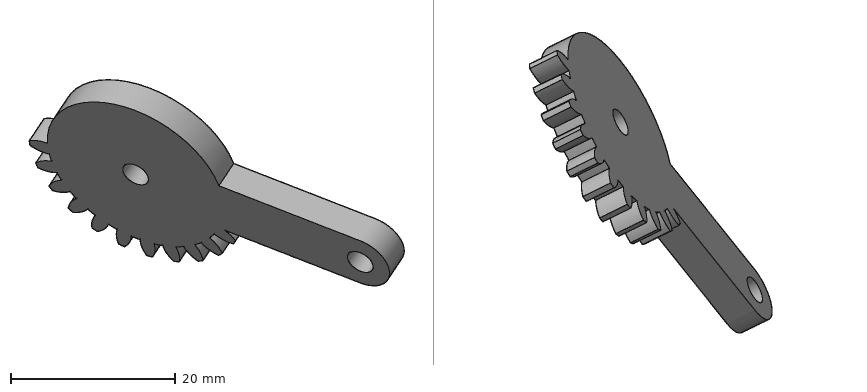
import cadquery as cq
import math

thickness = 4.0
root_radius = 12.1
tip_radius = 14.65
pitch_radius = 13.5
pressure_angle = math.radians(20)
full_circle_teeth = 24
tooth_count = 11
first_tooth_angle = 187.5
hole_diameter = 3.5
arm_width = 8.0
overall_length = 49.3

tooth_pitch = 360 / full_circle_teeth
base_radius = pitch_radius * math.cos(pressure_angle)
tooth_foot_radius = root_radius - 0.5


def involute(angle):
    return math.tan(angle) - angle


def half_tooth_angle(radius):
    """Angle from the tooth centreline to its involute flank, in radians."""
    at_pitch = math.pi / (2 * full_circle_teeth)
    flank_angle = math.acos(base_radius / radius)
    return at_pitch + involute(pressure_angle) - involute(flank_angle)


def polar(radius, angle):
    return (radius * math.cos(angle), radius * math.sin(angle))


first_tooth_tilt = math.radians(first_tooth_angle - 180)
left_reach = tip_radius * math.cos(first_tooth_tilt - half_tooth_angle(tip_radius))
arm_length = overall_length - left_reach - arm_width / 2


def front_plane():
    """XZ sketch plane on the back face; extrusion runs toward -Y."""
    return cq.Workplane("XZ")


def make_tooth():
    """One tooth on +X, each flank a single arc fitted to the involute."""
    base_half = half_tooth_angle(base_radius)
    middle_radius = (base_radius + tip_radius) / 2
    middle_half = half_tooth_angle(middle_radius)
    tip_half = half_tooth_angle(tip_radius)
    return (
        front_plane()
        .moveTo(*polar(tooth_foot_radius, -base_half))
        .lineTo(*polar(root_radius, -base_half))
        .threePointArc(polar(middle_radius, -middle_half), polar(tip_radius, -tip_half))
        .threePointArc((tip_radius, 0), polar(tip_radius, tip_half))
        .threePointArc(polar(middle_radius, middle_half), polar(root_radius, base_half))
        .lineTo(*polar(tooth_foot_radius, base_half))
        .close()
        .extrude(thickness)
    )


def make_arm():
    """Straight bar from the pivot, ending in a full round."""
    half_width = arm_width / 2
    return (
        front_plane()
        .moveTo(0, -half_width)
        .lineTo(arm_length, -half_width)
        .threePointArc((arm_length + half_width, 0), (arm_length, half_width))
        .lineTo(0, half_width)
        .close()
        .extrude(thickness)
    )


body = front_plane().circle(root_radius).extrude(thickness).union(make_arm())

tooth = make_tooth()
for index in range(tooth_count):
    angle = first_tooth_angle + index * tooth_pitch
    body = body.union(tooth.rotate((0, 0, 0), (0, 1, 0), -angle))

holes = (
    front_plane()
    .pushPoints([(0, 0), (arm_length, 0)])
    .circle(hole_diameter / 2)
    .extrude(thickness)
)
result = body.cut(holes)